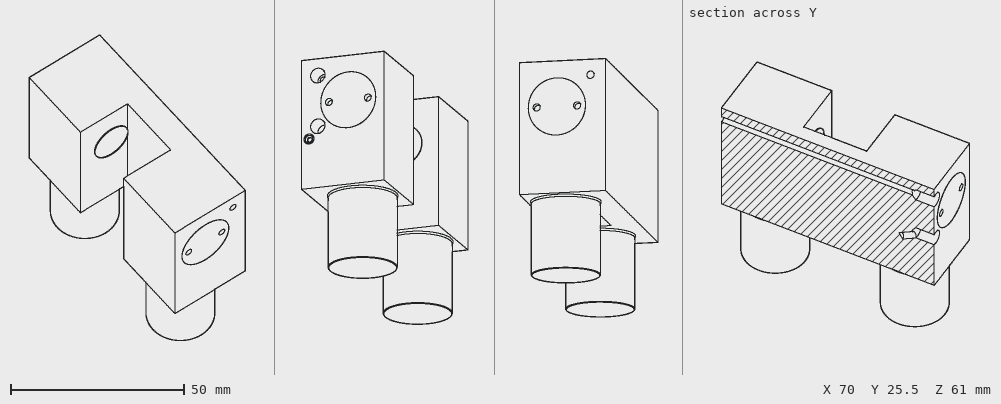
import cadquery as cq
import math

body_width = 70.0
body_depth = 25.5
body_height = 39.1
total_height = 61.0
slot_width = 20.7
rear_wall = 8.5

post_diameter = 20.0
post_spacing = 45.9
post_root_flare = 0.2
post_root_height = 0.6
post_end_chamfer = 0.2

axis_y = -14.4
axis_z = -13.5
cap_diameter = 16.95
cap_recess = 0.1
pin_hole_diameter = 2.1
pin_hole_spacing = 12.0
pin_hole_depth = 2.0
lens_diameter = 12.0
lens_height = 0.3

indicator_diameter = 4.4
indicator_depth = 6.0
indicator_y = -5.05
indicator_top_z = -5.1
indicator_spacing = 15.4
indicator_tip_angle = 90.0

wire_diameter = 2.2
wire_y = -4.5
wire_z = -4.6
branch_y = -4.0
branch_z = -21.3
branch_length = 5.6
branch_slope = 30.0

screw_y = -2.3
screw_z = -24.1
screw_diameter = 3.0
screw_recess = 0.15
screw_seat_diameter = 2.25
screw_seat_depth = 0.55
screw_socket_diameter = 1.4
screw_socket_depth = 1.0

left_x = -body_width / 2
along_x = cq.Vector(1, 0, 0)


def rod(diameter, length, x, y, z, direction=along_x):
    """Cylinder that starts at the given point and runs along the direction."""
    return cq.Workplane(cq.Solid.makeCylinder(diameter / 2, length, cq.Vector(x, y, z), direction))


def cone(start_diameter, end_diameter, length, x, y, z):
    """Cone along +X that starts at the given point."""
    solid = cq.Solid.makeCone(start_diameter / 2, end_diameter / 2, length, cq.Vector(x, y, z), along_x)
    return cq.Workplane(solid)


def make_body():
    block = cq.Workplane("XY").box(body_width, body_depth, body_height, centered=(True, False, False))
    slot = cq.Workplane("XY").box(
        slot_width, body_depth - rear_wall, body_height, centered=(True, False, False)
    )
    return block.cut(slot).translate((0, -body_depth, -body_height))


def make_post(x):
    """Post with a flared root against the body and a chamfered free end."""
    radius = post_diameter / 2
    length = total_height - body_height
    profile = (
        cq.Workplane("XZ")
        .lineTo(radius + post_root_flare, 0)
        .lineTo(radius, -post_root_height)
        .lineTo(radius, -length + post_end_chamfer)
        .lineTo(radius - post_end_chamfer, -length)
        .lineTo(0, -length)
        .close()
    )
    return profile.revolve(360, (0, 0, 0), (0, 1, 0)).translate((x, axis_y, -body_height))


def make_cap_cut():
    """Shallow cap seat in the left end with its two spanner holes."""
    cut = rod(cap_diameter, cap_recess, left_x, axis_y, axis_z)
    for side in (-1, 1):
        pin_y = axis_y + side * pin_hole_spacing / 2
        cut = cut.union(rod(pin_hole_diameter, pin_hole_depth, left_x, pin_y, axis_z))
    return cut


def make_indicator_hole(z):
    """Blind hole with a conical tip."""
    tip_length = indicator_diameter / 2 / math.tan(math.radians(indicator_tip_angle / 2))
    bore = rod(indicator_diameter, indicator_depth, left_x, indicator_y, z)
    tip = cone(indicator_diameter, 0, tip_length, left_x + indicator_depth, indicator_y, z)
    return bore.union(tip)


def make_branch():
    """Wire passage that slopes down and inward from the lower indicator hole."""
    slope = math.radians(branch_slope)
    direction = cq.Vector(math.cos(slope), 0, -math.sin(slope))
    return rod(wire_diameter, branch_length, left_x + indicator_depth, branch_y, branch_z, direction)


def make_screw_cut():
    """Screw head recess with a conical seat and a round socket."""
    recess = rod(screw_diameter, screw_recess, left_x, screw_y, screw_z)
    seat_x = left_x + screw_recess
    seat = cone(screw_seat_diameter, screw_socket_diameter, screw_seat_depth, seat_x, screw_y, screw_z)
    socket = rod(screw_socket_diameter, screw_recess + screw_socket_depth, left_x, screw_y, screw_z)
    return recess.union(seat).union(socket)


result = make_body()
for side in (-1, 1):
    result = result.union(make_post(side * post_spacing / 2))

for side in (-1, 1):
    lens = rod(lens_diameter, lens_height, side * slot_width / 2, axis_y, axis_z, along_x * -side)
    result = result.union(lens)

cap_cut = make_cap_cut()
result = result.cut(cap_cut).cut(cap_cut.mirror("YZ"))

for row in range(2):
    result = result.cut(make_indicator_hole(indicator_top_z - row * indicator_spacing))
result = result.cut(rod(wire_diameter, body_width, left_x, wire_y, wire_z))
result = result.cut(make_branch())
result = result.cut(make_screw_cut())